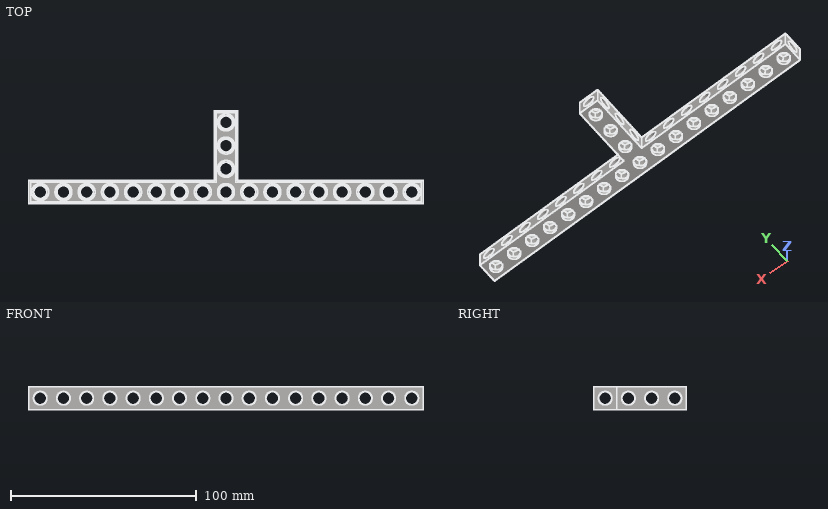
import cadquery as cq

beam_length = 212.5
long_holes = 17
arm_holes = 3
hole_diameter = 7.0
collar_diameter = 9.1
rim_width = 1.0
recess_depth = 0.2

pitch = beam_length / long_holes
arm_length = arm_holes * pitch
total_width = pitch + arm_length


def tee(inset, bottom, height):
    """T-shaped block, its outline moved inward by inset."""
    bar = cq.Workplane("XY").box(beam_length - 2 * inset, pitch - 2 * inset, height,
                                 centered=(True, True, False))
    arm = (
        cq.Workplane("XY")
        .box(pitch - 2 * inset, total_width - 2 * inset, height, centered=(True, True, False))
        .translate((0, arm_length / 2, 0))
    )
    return bar.union(arm).translate((0, 0, bottom))


long_centres = [(i - (long_holes - 1) / 2) * pitch for i in range(long_holes)]
arm_centres = [(i + 1) * pitch for i in range(arm_holes)]
vertical_points = [(x, 0) for x in long_centres] + [(0, y) for y in arm_centres]

body = tee(0, -pitch / 2, pitch)

recess = tee(rim_width, pitch / 2 - recess_depth, recess_depth)
collars = (
    cq.Workplane("XY", origin=(0, 0, pitch / 2 - recess_depth))
    .pushPoints(vertical_points)
    .circle(collar_diameter / 2)
    .extrude(recess_depth)
)
body = body.cut(recess.cut(collars))


def drill(plane, points, reach):
    """Round holes along the normal of plane, reaching the same distance to both sides."""
    return cq.Workplane(plane).pushPoints(points).circle(hole_diameter / 2).extrude(reach, both=True)


vertical_holes = drill("XY", vertical_points, pitch)
crosswise_holes = drill("XZ", [(x, 0) for x in long_centres], total_width)
lengthwise_holes = drill("YZ", [(y, 0) for y in [0] + arm_centres], beam_length)
result = body.cut(vertical_holes).cut(crosswise_holes).cut(lengthwise_holes)